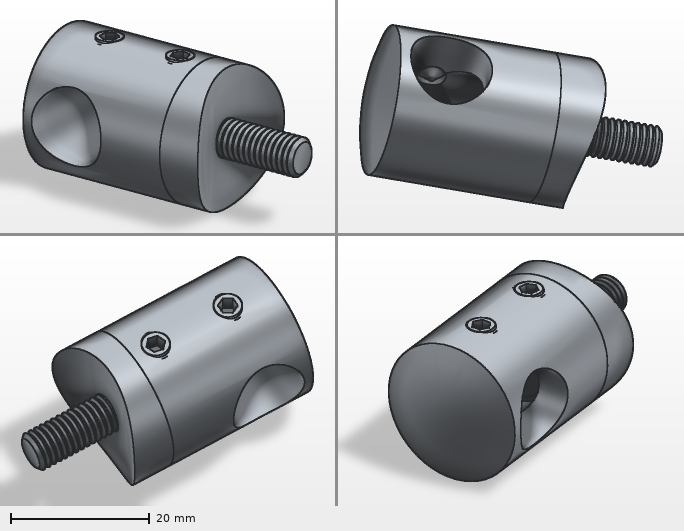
import cadquery as cq
import math


BODY_RADIUS = 11.0
DOME_HEIGHT = 2.0
HOUSING_END_X = 26.0
ROD_HOLE_RADIUS = 6.1
ROD_HOLE_X = 9.6
SPIGOT_RADIUS = 6.0

SADDLE_X = 30.2
TUBE_RADIUS = 25.4
SPIGOT_END_X = 18.5
SPIGOT_TIP_RADIUS = 5.2
SPIGOT_TIP_LENGTH = 0.25

STUD_END_X = 43.5
STUD_LENGTH = 20.0
STUD_RADIUS = 3.0
STUD_ROOT_RADIUS = 2.58
STUD_PITCH = 0.96
STUD_CREST_WIDTH = 0.12
STUD_CHAMFER = 0.6
LAST_GROOVE_X = 42.46

SCREW_RADIUS = 2.5
SCREW_FLAT_RADIUS = 2.03
SCREW_LENGTH = 6.0
SCREW_SPACING = 12.4
TAP_HOLE_RADIUS = 2.1
HEX_ACROSS_FLATS = 2.5
HEX_DEPTH = 2.5
SCREW_HEX_ANGLES = [27.0, 48.0]

SCREW_XS = [ROD_HOLE_X + i * SCREW_SPACING for i in range(len(SCREW_HEX_ANGLES))]


def cylinder_along_x(radius, start_x, end_x):
    return cq.Workplane("YZ", origin=(start_x, 0, 0)).circle(radius).extrude(end_x - start_x)


def cylinder_along_z(radius, x, bottom_z, top_z):
    return cq.Workplane("XY", origin=(x, 0, bottom_z)).circle(radius).extrude(top_z - bottom_z)


def screw_envelope(x):
    """Grub screw without its socket: chamfered top and a 90 degree cone point."""
    top_z = BODY_RADIUS
    tip_z = top_z - SCREW_LENGTH
    chamfer = SCREW_RADIUS - SCREW_FLAT_RADIUS
    return (
        cq.Workplane("XZ", origin=(x, 0, 0))
        .moveTo(0, tip_z)
        .lineTo(SCREW_RADIUS, tip_z + SCREW_RADIUS)
        .lineTo(SCREW_RADIUS, top_z - chamfer)
        .lineTo(SCREW_FLAT_RADIUS, top_z)
        .lineTo(0, top_z)
        .close()
        .revolve(360, (0, 0, 0), (0, 1, 0))
    )


def make_grub_screw(x, hex_angle):
    hex_corner_diameter = HEX_ACROSS_FLATS / math.cos(math.pi / 6)
    socket = (
        cq.Workplane("XY", origin=(x, 0, BODY_RADIUS))
        .transformed(rotate=(0, 0, hex_angle))
        .polygon(6, hex_corner_diameter)
        .extrude(-HEX_DEPTH)
    )
    return screw_envelope(x).cut(socket)


def make_housing():
    dome_radius = (BODY_RADIUS**2 + DOME_HEIGHT**2) / (2 * DOME_HEIGHT)
    dome_middle_z = BODY_RADIUS / 2
    dome_middle_x = dome_radius - math.sqrt(dome_radius**2 - dome_middle_z**2)
    housing = (
        cq.Workplane("XZ")
        .threePointArc((dome_middle_x, dome_middle_z), (DOME_HEIGHT, BODY_RADIUS))
        .lineTo(HOUSING_END_X, BODY_RADIUS)
        .lineTo(HOUSING_END_X, 0)
        .close()
        .revolve(360, (0, 0, 0), (1, 0, 0))
    )

    rod_hole = (
        cq.Workplane("XZ", origin=(ROD_HOLE_X, 0, 0))
        .circle(ROD_HOLE_RADIUS)
        .extrude(BODY_RADIUS, both=True)
    )
    spigot_bore = cylinder_along_x(SPIGOT_RADIUS, ROD_HOLE_X, HOUSING_END_X)
    housing = housing.cut(rod_hole).cut(spigot_bore)

    for x in SCREW_XS:
        tap_hole = cylinder_along_z(TAP_HOLE_RADIUS, x, 0, BODY_RADIUS)
        housing = housing.cut(tap_hole).cut(screw_envelope(x))
    return housing


def make_stud():
    """Stud with ring grooves for its thread outside the adapter and a plain shank inside."""
    stud = cylinder_along_x(STUD_RADIUS, STUD_END_X - STUD_LENGTH, STUD_END_X)
    stud = stud.faces(">X").chamfer(STUD_CHAMFER)

    half_groove = (STUD_PITCH - STUD_CREST_WIDTH) / 2
    groove_count = math.floor((LAST_GROOVE_X - SADDLE_X) / STUD_PITCH) + 1
    for i in range(groove_count):
        groove_x = LAST_GROOVE_X - i * STUD_PITCH
        groove = (
            cq.Workplane("XZ")
            .moveTo(groove_x, STUD_ROOT_RADIUS)
            .lineTo(groove_x + half_groove, STUD_RADIUS)
            .lineTo(groove_x - half_groove, STUD_RADIUS)
            .close()
            .revolve(360, (0, 0, 0), (1, 0, 0))
        )
        stud = stud.cut(groove)
    return stud


def make_adapter():
    tube_x = SADDLE_X + TUBE_RADIUS
    spigot_tip = cylinder_along_x(SPIGOT_TIP_RADIUS, SPIGOT_END_X, HOUSING_END_X)
    spigot = cylinder_along_x(SPIGOT_RADIUS, SPIGOT_END_X + SPIGOT_TIP_LENGTH, HOUSING_END_X)
    head = cylinder_along_x(BODY_RADIUS, HOUSING_END_X, tube_x)
    tube = cylinder_along_z(TUBE_RADIUS, tube_x, -BODY_RADIUS, BODY_RADIUS)
    stud_hole = cylinder_along_x(STUD_RADIUS, STUD_END_X - STUD_LENGTH, tube_x)
    clamp_dimple = screw_envelope(SCREW_XS[-1])
    return head.union(spigot).union(spigot_tip).cut(tube).cut(stud_hole).cut(clamp_dimple)


housing = make_housing()
adapter = make_adapter()
stud = make_stud()
grub_screws = [make_grub_screw(x, angle) for x, angle in zip(SCREW_XS, SCREW_HEX_ANGLES)]

result = cq.Compound.makeCompound(
    [housing.val(), adapter.val(), stud.val(), *[screw.val() for screw in grub_screws]]
)